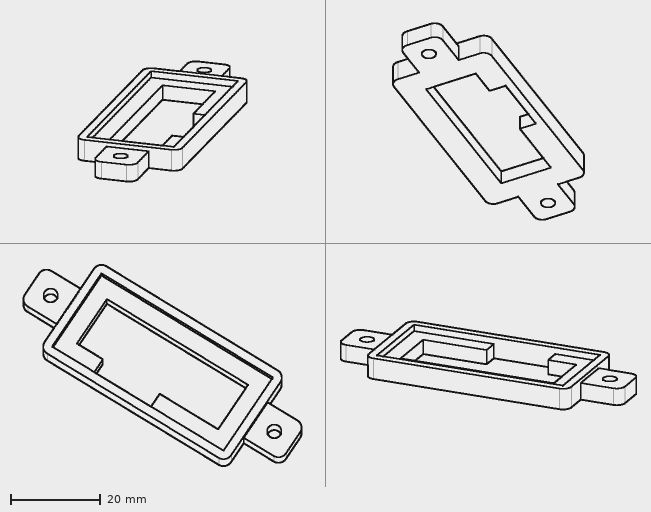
import cadquery as cq

overall_length = 69.5
frame_width = 24.5
frame_length = 49.6
frame_height = 5.0
wall = 2.0
corner_radius = 2.0

ledge_width = 4.0
ledge_height = 3.5
pocket_width = frame_width - 2 * wall
pocket_length = frame_length - 2 * wall
opening_width = pocket_width - 2 * ledge_width
opening_length = pocket_length - 2 * ledge_width

gap_length = 15.1
gap_center_y = -4.3

tab_width = 9.95
tab_height = 4.0
hole_diameter = 3.2
hole_spacing = 59.5


def block(width, length, height, base_z=0):
    """Box centred in X and Y, standing on base_z."""
    return cq.Workplane("XY").workplane(offset=base_z).rect(width, length).extrude(height)


def make_tabs():
    """One rounded strip through the frame forms both tabs, with a hole in each."""
    strip = block(tab_width, overall_length, tab_height).edges("|Z").fillet(corner_radius)
    holes = (
        cq.Workplane("XY")
        .pushPoints([(0, side * hole_spacing / 2) for side in (-1, 1)])
        .circle(hole_diameter / 2)
        .extrude(tab_height)
    )
    return strip.cut(holes)


def make_ledge_gap():
    """Cutter running from the central opening out to the +X wall."""
    gap_width = pocket_width / 2
    return block(gap_width, gap_length, frame_height).translate((gap_width / 2, gap_center_y, 0))


frame = block(frame_width, frame_length, frame_height).edges("|Z").fillet(corner_radius)
result = (
    frame.union(make_tabs())
    .cut(block(pocket_width, pocket_length, frame_height - ledge_height, ledge_height))
    .cut(block(opening_width, opening_length, frame_height))
    .cut(make_ledge_gap())
)